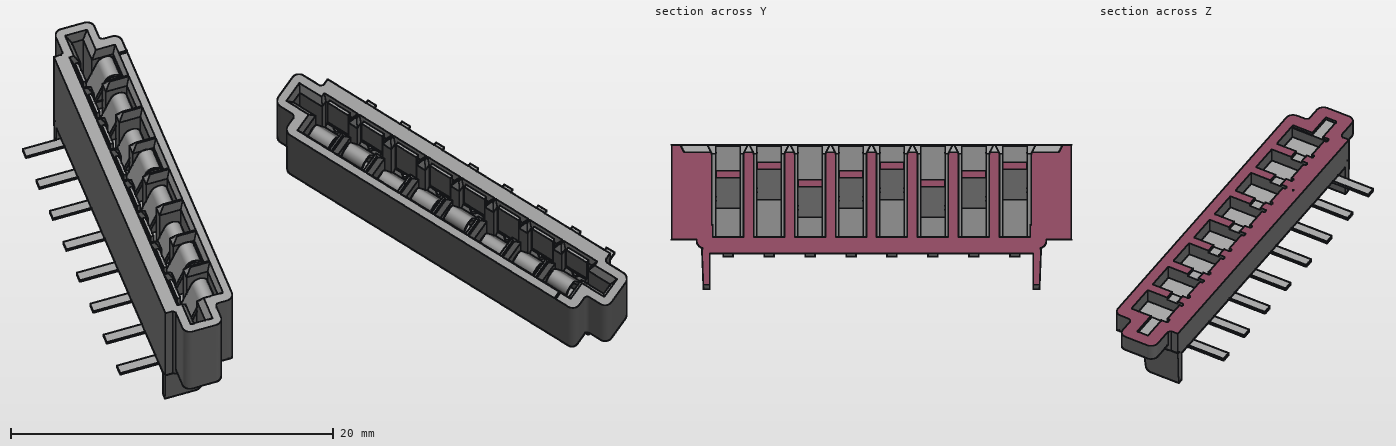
import cadquery as cq
import math


WING_HALF_LENGTH = 12.42
BACK_HALF_LENGTH = 10.85
FRONT_HALF_LENGTH = 10.53
WING_FRONT_Y = 0.62
WING_BACK_Y = 3.15
BACK_Y = 4.42
CORNER_RADIUS = 0.5
BACK_INNER_RADIUS = 0.22
FRONT_CHAMFER_Y = 0.47

WING_DEPTH = 5.89
ROUND_START_DEPTH = 5.94
BODY_DEPTH = 6.75
BACK_CHAMFER_DEPTH = 0.4
BACK_CHAMFER_WIDTH = 0.52

LEAD_IN_DEPTH = 0.55
SLOT_HALF_LENGTH = 11.85
SLOT_FRONT_Y = 1.2
SLOT_BACK_Y = 2.63
SLOT_LEAD_X = 0.27
SLOT_LEAD_Y = 0.35
SLOT_DEPTH = 4.97
CELL_ROW_HALF_LENGTH = 10.18
CELL_FRONT_Y = 0.9
CELL_BACK_Y = 3.9
CELL_LEAD_X = 0.27
CELL_LEAD_Y = 0.22
CELL_DEPTH = 5.71
DIVIDER_TIP = 0.1

CONTACT_COUNT = 8
CONTACT_ROW_SPAN = 17.79
PITCH = CONTACT_ROW_SPAN / (CONTACT_COUNT - 1)
CONTACT_WIDTH = 1.52
STRIP_THICKNESS = 0.17
PIN_WIDTH = 0.62
PIN_TIP_Y = -2.5
ARCH_RADIUS = 0.55
ARCH_CENTER_Y = 3.05
ARM_NORMAL_ANGLE = math.radians(68)
ARM_FOOT_Y = 1.6
LIP_END_Y = 1.4
LIP_RISE = 0.25
BLADE_FRONT_Y = 1.1
BLADE_BACK_Y = 1.3
BLADE_TOP_DEPTH = 0.07
FIRST_ARCH_DEPTH = 0.22
ARCH_DEPTH_STEP = 0.55
ARCH_LEVELS = 3
GUSSET_HALF_WIDTH = 0.3
GUSSET_HEIGHT = 0.4

LEG_TOP_DEPTH = 6.43
LEG_BOTTOM_DEPTH = 8.97
LEG_INNER_X = 10.04
LEG_OUTER_BOTTOM_X = 10.43
LEG_TOP_BACK_Y = 2.55
LEG_BOTTOM_BACK_Y = 2.33
LEG_CORNER_RADIUS = 0.4

MARK_X = -9.4
MARK_WIDTH = 0.07
MARK_HEIGHT = 0.12


def slab_along_y(outline, front_y, back_y):
    """Extrude an XZ outline, drawn on the Y = 0 plane, between two Y positions."""
    return outline.extrude(-(back_y - front_y)).translate((0, front_y, 0))


def box_between(x0, x1, y0, y1, z0, z1):
    return cq.Workplane("XY").box(x1 - x0, y1 - y0, z1 - z0, centered=False).translate((x0, y0, z0))


def make_body():
    r, rb = CORNER_RADIUS, BACK_INNER_RADIUS
    diagonal = 1 - math.sqrt(0.5)
    chamfer_end_x = FRONT_HALF_LENGTH + WING_FRONT_Y - FRONT_CHAMFER_Y

    def corner(path, corner_x, corner_y, radius, end, inward_x, inward_y):
        """Round a right-angled corner; inward_x/y point from it to the arc centre."""
        middle = (corner_x + inward_x * radius * diagonal, corner_y + inward_y * radius * diagonal)
        return path.threePointArc(middle, end)

    path = cq.Workplane("XY").moveTo(0, 0).lineTo(-FRONT_HALF_LENGTH, 0)
    path = path.lineTo(-FRONT_HALF_LENGTH, FRONT_CHAMFER_Y)
    path = path.lineTo(-chamfer_end_x, WING_FRONT_Y)
    path = path.lineTo(-WING_HALF_LENGTH + r, WING_FRONT_Y)
    path = corner(path, -WING_HALF_LENGTH, WING_FRONT_Y, r,
                  (-WING_HALF_LENGTH, WING_FRONT_Y + r), 1, 1)
    path = path.lineTo(-WING_HALF_LENGTH, WING_BACK_Y - r)
    path = corner(path, -WING_HALF_LENGTH, WING_BACK_Y, r,
                  (-WING_HALF_LENGTH + r, WING_BACK_Y), 1, -1)
    path = path.lineTo(-BACK_HALF_LENGTH - rb, WING_BACK_Y)
    path = corner(path, -BACK_HALF_LENGTH, WING_BACK_Y, rb,
                  (-BACK_HALF_LENGTH, WING_BACK_Y + rb), -1, 1)
    path = path.lineTo(-BACK_HALF_LENGTH, BACK_Y - r)
    path = corner(path, -BACK_HALF_LENGTH, BACK_Y, r, (-BACK_HALF_LENGTH + r, BACK_Y), 1, -1)
    plan = path.lineTo(0, BACK_Y).mirrorY().extrude(-BODY_DEPTH)

    base_half_length = BACK_HALF_LENGTH - r
    lengthwise = (
        cq.Workplane("XZ")
        .lineTo(-WING_HALF_LENGTH, 0)
        .lineTo(-WING_HALF_LENGTH, -WING_DEPTH)
        .lineTo(-BACK_HALF_LENGTH, -WING_DEPTH)
        .lineTo(-BACK_HALF_LENGTH, -ROUND_START_DEPTH)
        .threePointArc(
            (-BACK_HALF_LENGTH + r * diagonal, -ROUND_START_DEPTH - r * math.sqrt(0.5)),
            (-base_half_length, -ROUND_START_DEPTH - r),
        )
        .lineTo(-base_half_length, -BODY_DEPTH)
        .lineTo(0, -BODY_DEPTH)
        .mirrorY()
    )
    body = plan.intersect(slab_along_y(lengthwise, 0, BACK_Y))

    back_chamfer = (
        cq.Workplane("YZ")
        .moveTo(BACK_Y, -BODY_DEPTH)
        .lineTo(BACK_Y, -BODY_DEPTH + BACK_CHAMFER_DEPTH)
        .lineTo(BACK_Y - BACK_CHAMFER_WIDTH, -BODY_DEPTH)
        .close()
        .extrude(WING_HALF_LENGTH, both=True)
    )
    body = body.cut(back_chamfer)

    chamfer_leg = BACK_HALF_LENGTH - chamfer_end_x
    corner_cut = (
        cq.Workplane("XY")
        .workplane(offset=-WING_DEPTH)
        .moveTo(-BACK_HALF_LENGTH, WING_FRONT_Y)
        .lineTo(-BACK_HALF_LENGTH, WING_FRONT_Y + chamfer_leg)
        .lineTo(-chamfer_end_x, WING_FRONT_Y)
        .close()
        .extrude(WING_DEPTH - BODY_DEPTH)
    )
    return body.cut(corner_cut).cut(corner_cut.mirror("YZ"))


def lead_in_pocket(x0, x1, y0, y1, lead_x, lead_y, depth):
    """Rectangular pocket whose four walls slope in from the rim before going straight down."""
    center = ((x0 + x1) / 2, (y0 + y1) / 2, 0)
    inner_x = x1 - x0 - 2 * lead_x
    inner_y = y1 - y0 - 2 * lead_y
    funnel = (
        cq.Workplane("XY")
        .rect(x1 - x0, y1 - y0)
        .workplane(offset=-LEAD_IN_DEPTH)
        .rect(inner_x, inner_y)
        .loft(ruled=True)
    )
    shaft = cq.Workplane("XY").rect(inner_x, inner_y).extrude(-depth)
    return funnel.union(shaft).translate(center)


def cut_pockets(body, contact_xs):
    slot = lead_in_pocket(-SLOT_HALF_LENGTH, SLOT_HALF_LENGTH, SLOT_FRONT_Y, SLOT_BACK_Y,
                          SLOT_LEAD_X, SLOT_LEAD_Y, SLOT_DEPTH)
    body = body.cut(slot)
    cell_half_width = (PITCH - DIVIDER_TIP) / 2
    for x in contact_xs:
        cell = lead_in_pocket(x - cell_half_width, x + cell_half_width, CELL_FRONT_Y, CELL_BACK_Y,
                              CELL_LEAD_X, CELL_LEAD_Y, CELL_DEPTH)
        body = body.cut(cell)
    end_cell = lead_in_pocket(-CELL_ROW_HALF_LENGTH, contact_xs[0] + cell_half_width,
                              CELL_FRONT_Y, CELL_BACK_Y, CELL_LEAD_X, CELL_LEAD_Y, SLOT_DEPTH)
    return body.cut(end_cell).cut(end_cell.mirror("YZ"))


def make_contact(x, arch_depth):
    """Spring strip arched near the back wall, sloping down to a lip on the upright front blade."""
    sin_a, cos_a = math.sin(ARM_NORMAL_ANGLE), math.cos(ARM_NORMAL_ANGLE)
    center_z = -arch_depth - ARCH_RADIUS
    inner_radius = ARCH_RADIUS - STRIP_THICKNESS

    def on_arch(radius, sine, cosine):
        return (ARCH_CENTER_Y - radius * sine, center_z + radius * cosine)

    outer_tangent = on_arch(ARCH_RADIUS, sin_a, cos_a)
    foot_z = outer_tangent[1] - (outer_tangent[0] - ARM_FOOT_Y) * sin_a / cos_a
    drop = STRIP_THICKNESS / cos_a
    lip_z = foot_z + LIP_RISE
    profile = (
        cq.Workplane("YZ")
        .moveTo(*on_arch(ARCH_RADIUS, -1, 0))
        .threePointArc(on_arch(ARCH_RADIUS, 0, 1), outer_tangent)
        .lineTo(ARM_FOOT_Y, foot_z)
        .lineTo(LIP_END_Y, lip_z)
        .lineTo(BLADE_BACK_Y, lip_z)
        .lineTo(BLADE_BACK_Y, -BLADE_TOP_DEPTH)
        .lineTo(BLADE_FRONT_Y, -BLADE_TOP_DEPTH)
        .lineTo(BLADE_FRONT_Y, -BODY_DEPTH)
        .lineTo(BLADE_BACK_Y, -BODY_DEPTH)
        .lineTo(BLADE_BACK_Y, foot_z - drop)
        .lineTo(ARM_FOOT_Y, foot_z - drop)
        .lineTo(*on_arch(inner_radius, sin_a, cos_a))
        .threePointArc(on_arch(inner_radius, 0, 1), on_arch(inner_radius, -1, 0))
        .close()
    )
    spring = profile.extrude(CONTACT_WIDTH / 2, both=True)

    gusset = (
        cq.Workplane("XY")
        .polyline([(-GUSSET_HALF_WIDTH, LIP_END_Y), (GUSSET_HALF_WIDTH, LIP_END_Y), (0, ARM_FOOT_Y)])
        .close()
        .extrude(GUSSET_HEIGHT)
        .translate((0, 0, foot_z))
    )

    half_pin = PIN_WIDTH / 2
    pin = box_between(-half_pin, half_pin, PIN_TIP_Y, BLADE_BACK_Y,
                      -BODY_DEPTH - STRIP_THICKNESS, -BODY_DEPTH)
    return spring.union(gusset).union(pin).translate((x, 0, 0))


def make_leg():
    """Left leg: a plate that tapers downwards on its outer side and at its back edge."""
    front_outline = cq.Workplane("XZ").polyline([
        (-LEG_INNER_X, -LEG_TOP_DEPTH),
        (-FRONT_HALF_LENGTH, -LEG_TOP_DEPTH),
        (-LEG_OUTER_BOTTOM_X, -LEG_BOTTOM_DEPTH),
        (-LEG_INNER_X, -LEG_BOTTOM_DEPTH),
    ]).close()
    plate = slab_along_y(front_outline, 0, LEG_TOP_BACK_Y)
    side_shape = (
        cq.Workplane("YZ")
        .polyline([
            (0, -LEG_TOP_DEPTH),
            (LEG_TOP_BACK_Y, -LEG_TOP_DEPTH),
            (LEG_BOTTOM_BACK_Y, -LEG_BOTTOM_DEPTH),
            (0, -LEG_BOTTOM_DEPTH),
        ])
        .close()
        .extrude(-FRONT_HALF_LENGTH)
        .edges("|X")
        .edges("<Z")
        .edges(">Y")
        .fillet(LEG_CORNER_RADIUS)
    )
    return plate.intersect(side_shape)


contact_positions = [-CONTACT_ROW_SPAN / 2 + i * PITCH for i in range(CONTACT_COUNT)]

result = cut_pockets(make_body(), contact_positions)

for index, position in enumerate(contact_positions):
    level_depth = FIRST_ARCH_DEPTH + ARCH_DEPTH_STEP * (index % ARCH_LEVELS)
    result = result.union(make_contact(position, level_depth))

leg = make_leg()
result = result.union(leg).union(leg.mirror("YZ"))

mark = box_between(MARK_X - MARK_WIDTH / 2, MARK_X + MARK_WIDTH / 2, CELL_BACK_Y, BACK_Y, 0, MARK_HEIGHT)
result = result.union(mark)